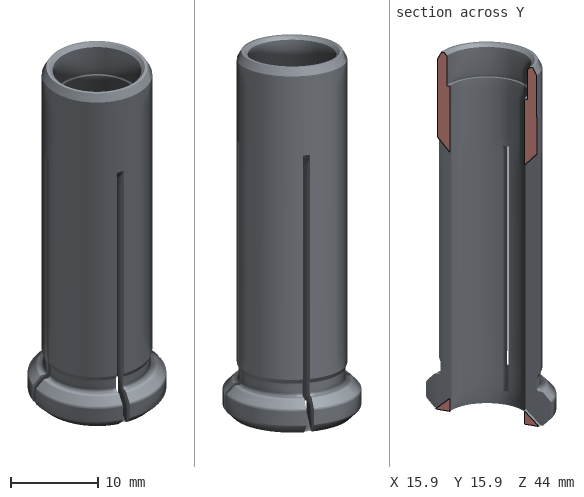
import cadquery as cq

length = 44.0
body_radius = 12.7 / 2
bore_radius = 9.5 / 2

head_radius = 15.95 / 2
head_height = 4.15
head_chamfer = 1.05
head_edge_round = 0.35

neck_depth = 0.2
neck_radius = body_radius - neck_depth
neck_top = 5.68
neck_taper_height = 0.55
neck_fillet = 0.35

tip_chamfer_width = 0.55
tip_chamfer_height = 0.92
counterbore_radius = 10.2 / 2
counterbore_depth = 4.0
mouth_chamfer = 0.4

slot_count = 4
slot_width = 0.9
slot_top = 33.45
slot_end_rise = 1.65
slot_floor_radius = 6.7
slot_overrun = 0.9


def make_sleeve():
    """Revolve the half section of the sleeve, bore included."""
    profile = [
        (bore_radius, 0),
        (head_radius - head_chamfer, 0),
        (head_radius, head_chamfer),
        (head_radius, head_height - head_chamfer),
        (head_radius - head_chamfer, head_height),
        (neck_radius, head_height),
        (neck_radius, neck_top),
        (body_radius, neck_top + neck_taper_height),
        (body_radius, length - tip_chamfer_height),
        (body_radius - tip_chamfer_width, length),
        (counterbore_radius + mouth_chamfer, length),
        (counterbore_radius, length - mouth_chamfer),
        (counterbore_radius, length - counterbore_depth),
        (bore_radius, length - counterbore_depth),
    ]
    return cq.Workplane("XZ").polyline(profile).close().revolve(360, (0, 0, 0), (0, 1, 0))


def round_rim(solid, rim_radius, rim_height, fillet_radius):
    """Fillet the circular edge with the given radius and height."""
    tolerance = 0.0005

    def is_rim(edge):
        return (
            edge.geomType() == "CIRCLE"
            and abs(edge.radius() - rim_radius) < tolerance
            and abs(edge.Center().z - rim_height) < tolerance
        )

    return solid.newObject([e for e in solid.edges().vals() if is_rim(e)]).fillet(fillet_radius)


def make_slot():
    """Cutter for one slot on the +X side."""
    inner = bore_radius - slot_overrun
    outer = head_radius + slot_overrun
    top_rise = slot_end_rise / (body_radius - bore_radius)
    floor_rise = slot_end_rise / (slot_floor_radius - bore_radius)
    profile = [
        (inner, (slot_floor_radius - inner) * floor_rise),
        (outer, (slot_floor_radius - outer) * floor_rise),
        (outer, slot_top + (outer - body_radius) * top_rise),
        (inner, slot_top + (inner - body_radius) * top_rise),
    ]
    return cq.Workplane("XZ").polyline(profile).close().extrude(slot_width / 2, both=True)


result = make_sleeve()
result = round_rim(result, head_radius, head_chamfer, head_edge_round)
result = round_rim(result, head_radius, head_height - head_chamfer, head_edge_round)
result = round_rim(result, head_radius - head_chamfer, head_height, head_edge_round)
result = round_rim(result, neck_radius, head_height, neck_fillet)

slot = make_slot()
for index in range(slot_count):
    result = result.cut(slot.rotate((0, 0, 0), (0, 0, 1), index * 360 / slot_count))